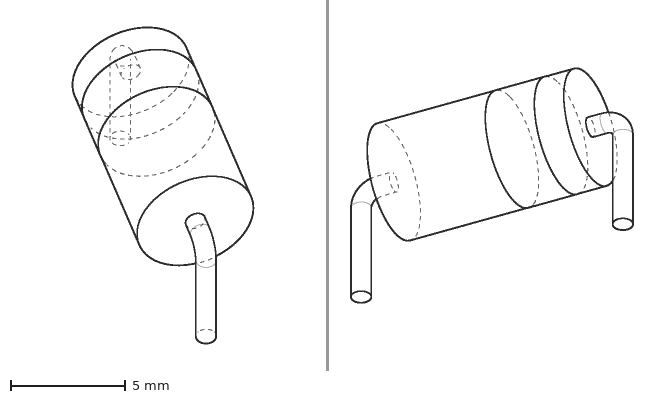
import cadquery as cq

overall_length = 13.6
overall_height = 8.34
body_length = 9.55
body_diameter = 5.33
band_diameter = 5.35
band_offset = 1.43
band_width = 2.38
lead_diameter = 0.9
bend_radius = 0.9

lead_x = (overall_length - lead_diameter) / 2
lead_bottom_z = band_diameter / 2 - overall_height


def cylinder_along_x(start_x, length, diameter):
    return cq.Workplane("YZ").workplane(offset=start_x).circle(diameter / 2).extrude(length)


def make_lead_pair():
    """One wire running through the body, with both ends bent down."""
    bend_start_x = lead_x - bend_radius
    path = (
        cq.Workplane("XZ")
        .moveTo(-lead_x, lead_bottom_z)
        .lineTo(-lead_x, -bend_radius)
        .tangentArcPoint((-bend_start_x, 0), relative=False)
        .lineTo(bend_start_x, 0)
        .tangentArcPoint((lead_x, -bend_radius), relative=False)
        .lineTo(lead_x, lead_bottom_z)
    )
    foot = cq.Workplane("XY", origin=(-lead_x, 0, lead_bottom_z))
    return foot.circle(lead_diameter / 2).sweep(path)


body = cylinder_along_x(-body_length / 2, body_length, body_diameter)
band = cylinder_along_x(-body_length / 2 + band_offset, band_width, band_diameter)

result = body.union(band).union(make_lead_pair())